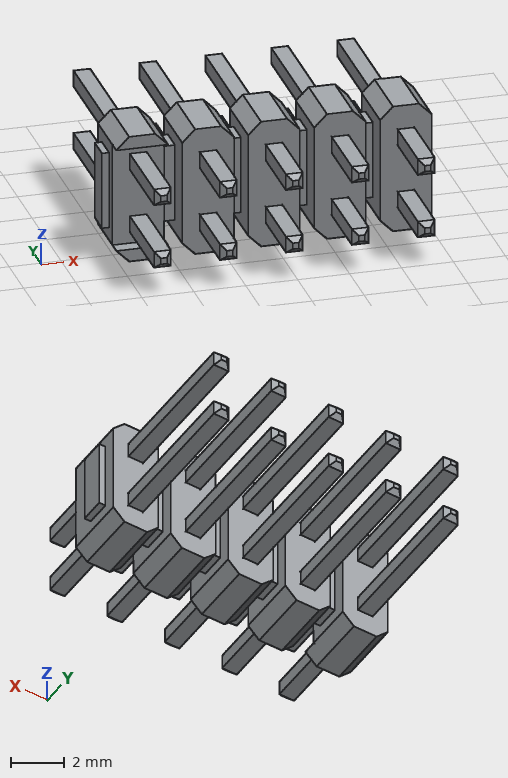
import cadquery as cq


PITCH = 2.54
COLUMNS = 5
ROWS = 2

BLOCK_WIDTH = 2.0
BLOCK_DEPTH = 2.54
BLOCK_HEIGHT = ROWS * PITCH
BLOCK_CHAMFER = 0.5
BAR_LENGTH = COLUMNS * PITCH
BAR_DEPTH = 1.0
BAR_HEIGHT = 3.05
BAR_FRONT = 1.0
RECESS_DEPTH = 0.55
RECESS_HEIGHT = BLOCK_HEIGHT - 2 * BLOCK_CHAMFER

PIN_SIDE = 0.65
PIN_LENGTH = 11.55
PIN_FRONT_LENGTH = 3.0
TIP_TAPER = 0.2

column_positions = [(i - (COLUMNS - 1) / 2) * PITCH for i in range(COLUMNS)]
row_positions = [(i - (ROWS - 1) / 2) * PITCH for i in range(ROWS)]
FIRST_COLUMN = column_positions[0]


def box_from_front(width, depth, height, x, front_y, z=0.0):
    """Box centred on x and z that reaches back from front_y."""
    return cq.Workplane("XY").box(width, depth, height).translate((x, front_y + depth / 2, z))


def make_block(x):
    """One column's block, with its four long edges chamfered."""
    block = box_from_front(BLOCK_WIDTH, BLOCK_DEPTH, BLOCK_HEIGHT, x, 0)
    return block.edges("|Y").chamfer(BLOCK_CHAMFER)


def make_pin(x, z):
    """Square pin, tapered at both ends."""
    pin = box_from_front(PIN_SIDE, PIN_LENGTH, PIN_SIDE, x, -PIN_FRONT_LENGTH, z)
    return pin.faces("<Y or >Y").chamfer(TIP_TAPER)


def make_housing(separate_pins):
    """Blocks and bar as one solid, with the first column's pins formed as part of it."""
    housing = box_from_front(BAR_LENGTH, BAR_DEPTH, BAR_HEIGHT, 0, BAR_FRONT)
    for x in column_positions:
        housing = housing.union(make_block(x))

    housing = housing.cut(box_from_front(BLOCK_WIDTH, RECESS_DEPTH, RECESS_HEIGHT, FIRST_COLUMN, 0))

    for z in row_positions:
        housing = housing.union(make_pin(FIRST_COLUMN, z))

    for pin in separate_pins:
        housing = housing.cut(pin)
    return housing


pins = [make_pin(x, z) for x in column_positions[1:] for z in row_positions]
housing = make_housing(pins)

result = cq.Compound.makeCompound([housing.solids().val(), *[pin.solids().val() for pin in pins]])